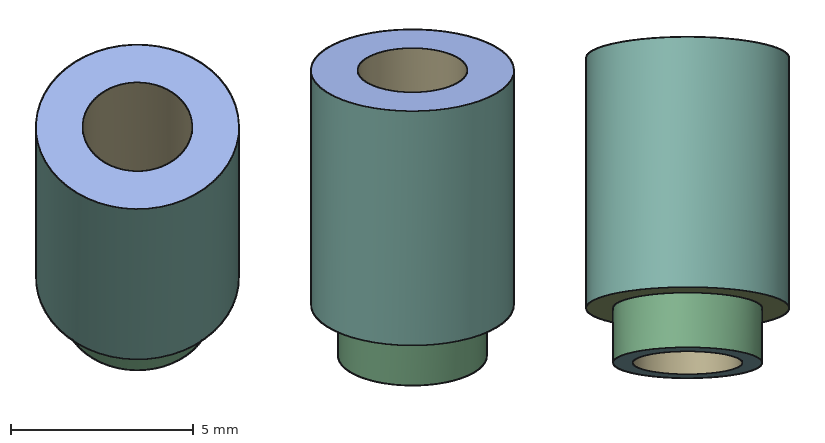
import cadquery as cq

total_height = 8.53
body_diameter = 5.56
spigot_diameter = 4.09
bore_diameter = 3.0
spigot_height = 1.53
body_height = total_height - spigot_height

spigot = cq.Workplane("XY").circle(spigot_diameter / 2).extrude(spigot_height)

stepped_blank = (
    spigot.faces(">Z")
    .workplane()
    .circle(body_diameter / 2)
    .extrude(body_height)
)

bore = cq.Workplane("XY").circle(bore_diameter / 2).extrude(total_height)

result = stepped_blank.cut(bore)